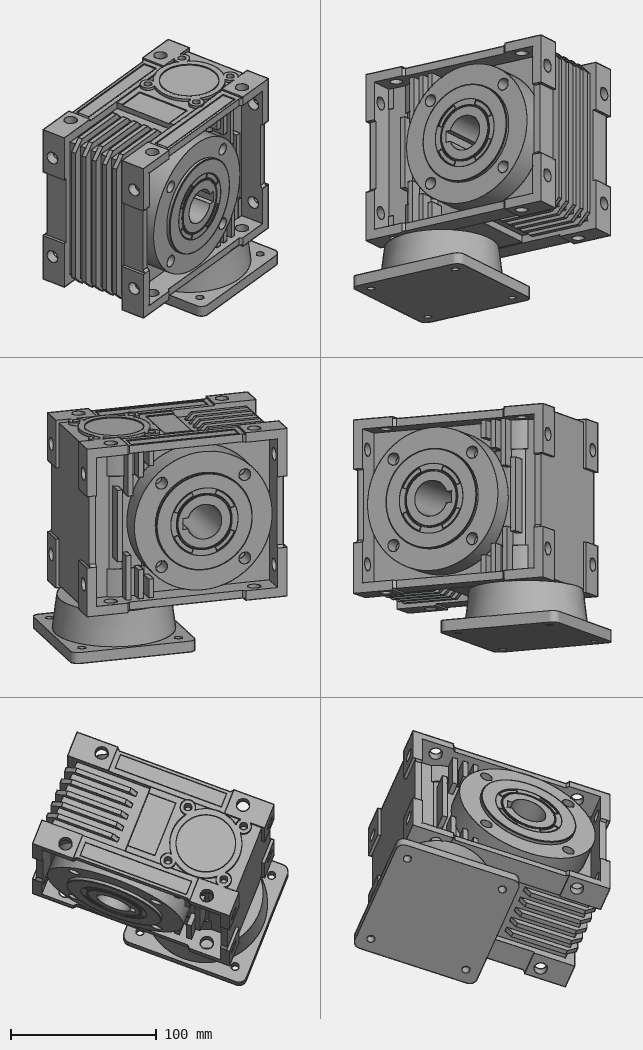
import cadquery as cq
import math


CENTRE_DISTANCE = 50.0
HALF_WIDTH = 42.7
CORE_HALF_WIDTH = 24.6
FRONT_Y, BACK_Y = -61.0, 84.0
BOTTOM_Z, TOP_Z = -61.0, 60.0
WALL = 6.9
RAIL_RECESS_X = 1.9
RAMP_LENGTH = 1.9
UPPER_RAMP_LENGTH = 0.6
RAIL_RECESS_Y = 2.2
RAIL_RECESS_Z = 1.2
PAD_EDGE_Z = 25.7
PAD_EDGE_Y = (-31.0, 54.3)
BACK_STEP = 2.2
COVER_LAND_STEP = 2.0

INNER_FRONT_Y = FRONT_Y + WALL
INNER_BACK_Y = BACK_Y - WALL
INNER_BOTTOM_Z = BOTTOM_Z + WALL
INNER_TOP_Z = TOP_Z - WALL

FOOT_HOLE_DIAMETER = 9.0
FOOT_HOLE_X = 34.8
FOOT_HOLE_Z = 40.0
FOOT_HOLE_Y = (-39.8, 64.1)

RAIL_PANEL_X = (28.5, 38.7)
RAIL_PANEL_Y = (-27.5, 50.5)
NAMEPLATE_HALF_WIDTH = 20.1
NAMEPLATE_LENGTH = 20.3
PANEL_DEPTH = 0.8

FIN_COUNT = 5
FIN_PITCH = 8.7
FIN_THICKNESS = 3.3
FIN_START_Y = -7.5
FIN_LEAD_IN = 4.7
FIN_SETBACK = 1.1
FIN_FRONT_Y = FRONT_Y + FIN_SETBACK
FIN_CHAMFER = 7.8

COVER_RADIUS = 24.8
COVER_DISH_RADIUS = 20.5
LUG_COUNT = 4
LUG_CIRCLE_RADIUS = 28.7
LUG_RADIUS = 5.3
LUG_HOLE_DIAMETER = 5.3
LUG_HOLE_DEPTH = 9.4
LUG_START_ANGLE = 46.3

ADAPTER_TOP_RADIUS = 39.3
ADAPTER_BASE_RADIUS = 42.5
FLANGE_BOTTOM_Z = -93.5
FLANGE_THICKNESS = 8.0
FLANGE_WIDTH = 89.9
FLANGE_CORNER_RADIUS = 5.5
FLANGE_HOLE_SPACING = 69.9
FLANGE_HOLE_DIAMETER = 5.5

DISC_RADIUS = 49.9
DISC_FACE_X = 43.4
SPIGOT_RADIUS = 34.8
SPIGOT_FACE_X = 46.0
SPIGOT_CHAMFER = 0.5
DISC_HOLE_OFFSET = 30.1
DISC_HOLE_DIAMETER = 8.5
DISC_HOLE_DEPTH = 12.5
SEAL_RADIUS = 24.3
SEAL_RECESS = 0.2
SEAL_GROOVE_RADII = (19.2, 20.1)
SEAL_GROOVE_DEPTH = 0.8
SEAL_POCKET_COUNT = 4
SEAL_POCKET_RADII = (20.6, 23.7)
SEAL_POCKET_SPAN = 45.0
SEAL_POCKET_DEPTH = 0.6
BORE_RADIUS = 12.5
KEYWAY_WIDTH = 8.0
KEYWAY_TIP_Y = 15.6

WORM_BARREL_RADIUS = 27.3
WORM_END_RADIUS = 28.1
WORM_BARREL_Z = (-34.2, 32.9)
RIB_FACE_X = 36.2
RIB_THICKNESS = 3.6
LONG_RIB_Y = 57.9
UPPER_RIBS = ((50.4, 20.7), (42.7, 33.5), (35.3, 41.2))
LOWER_RIBS = ((51.6, -22.2), (42.7, -33.2), (35.3, -40.7))
CORNER_BLOCK_WIDTH = 3.7
CORNER_BLOCK_HEIGHT = 14.7
CORNER_BLOCK_STANDOUT = 0.3


def box(x_range, y_range, z_range):
    """Axis-aligned box between the given limits."""
    (x0, x1), (y0, y1), (z0, z1) = x_range, y_range, z_range
    return cq.Workplane("XY").box(x1 - x0, y1 - y0, z1 - z0, centered=False).translate((x0, y0, z0))


def both_sides(shape):
    """The shape together with its mirror image across the YZ plane."""
    return shape.union(shape.mirror("YZ"))


def x_cylinder(radius, x_start, x_end, y=0, z=0):
    return cq.Workplane("YZ", origin=(x_start, y, z)).circle(radius).extrude(x_end - x_start)


def y_cylinder(radius, y_start, y_end, x, z):
    return cq.Workplane("XZ", origin=(x, y_start, z)).circle(radius).extrude(y_start - y_end)


def z_cylinder(radius, z_start, z_end, x=0, y=CENTRE_DISTANCE):
    return cq.Workplane("XY", origin=(x, y, z_start)).circle(radius).extrude(z_end - z_start)


def make_core():
    """Central body, stepped up over the worm at the top and bottom."""
    width = (-CORE_HALF_WIDTH, CORE_HALF_WIDTH)
    body = box(width, (INNER_FRONT_Y, BACK_Y - BACK_STEP), (INNER_BOTTOM_Z, INNER_TOP_Z))
    worm_land = box(
        width,
        (0, BACK_Y - BACK_STEP),
        (BOTTOM_Z + COVER_LAND_STEP, TOP_Z - COVER_LAND_STEP),
    )
    nameplate = box(
        (-NAMEPLATE_HALF_WIDTH, NAMEPLATE_HALF_WIDTH),
        (0, NAMEPLATE_LENGTH),
        (TOP_Z - COVER_LAND_STEP - PANEL_DEPTH, TOP_Z),
    )
    return body.union(worm_land).cut(nameplate)


def make_frame():
    """Left side frame: four corner pads joined by recessed rails."""
    width = (-HALF_WIDTH, -CORE_HALF_WIDTH)
    pad_z = (-PAD_EDGE_Z, PAD_EDGE_Z)
    frame = box(width, (FRONT_Y, BACK_Y), (BOTTOM_Z, TOP_Z))
    frame = frame.cut(box(width, (INNER_FRONT_Y, INNER_BACK_Y), (INNER_BOTTOM_Z, INNER_TOP_Z)))

    for y_range in ((FRONT_Y, FRONT_Y + RAIL_RECESS_Y), (BACK_Y - RAIL_RECESS_Y, BACK_Y)):
        frame = frame.cut(box(width, y_range, pad_z))
    for z_range in ((BOTTOM_Z, BOTTOM_Z + RAIL_RECESS_Z), (TOP_Z - RAIL_RECESS_Z, TOP_Z)):
        frame = frame.cut(box(width, PAD_EDGE_Y, z_range))

    upright_profile = side_recess_profile(pad_z, UPPER_RAMP_LENGTH)
    upright_recess = cq.Workplane("XZ", origin=(0, FRONT_Y, 0)).polyline(upright_profile).close()
    frame = frame.cut(upright_recess.extrude(FRONT_Y - BACK_Y))
    level_profile = side_recess_profile(PAD_EDGE_Y, RAMP_LENGTH)
    level_recess = cq.Workplane("XY", origin=(0, 0, BOTTOM_Z)).polyline(level_profile).close()
    frame = frame.cut(level_recess.extrude(TOP_Z - BOTTOM_Z))

    panel_x = (-RAIL_PANEL_X[1], -RAIL_PANEL_X[0])
    panel_z = TOP_Z - RAIL_RECESS_Z - PANEL_DEPTH
    return frame.cut(box(panel_x, RAIL_PANEL_Y, (panel_z, TOP_Z)))


def side_recess_profile(edges, end_ramp_length):
    """Trapezoid cut into the left face between two pad edges."""
    floor_x = -HALF_WIDTH + RAIL_RECESS_X
    return [
        (-HALF_WIDTH, edges[0]),
        (floor_x, edges[0] + RAMP_LENGTH),
        (floor_x, edges[1] - end_ramp_length),
        (-HALF_WIDTH, edges[1]),
    ]


def make_foot_holes():
    """Holes through the frame walls at the left-hand corner pads."""
    radius = FOOT_HOLE_DIAMETER / 2
    holes = cq.Workplane("XY")
    for y_start in (FRONT_Y, INNER_BACK_Y):
        for z in (-FOOT_HOLE_Z, FOOT_HOLE_Z):
            holes = holes.add(y_cylinder(radius, y_start, y_start + WALL, -FOOT_HOLE_X, z))
    for z_start in (BOTTOM_Z, INNER_TOP_Z):
        for y in FOOT_HOLE_Y:
            holes = holes.add(z_cylinder(radius, z_start, z_start + WALL, -FOOT_HOLE_X, y))
    return holes.combine()


def make_fins():
    """Cooling fins wrapped around the front of the core."""
    top = TOP_Z - COVER_LAND_STEP
    bottom = BOTTOM_Z + COVER_LAND_STEP
    outline = [
        (FIN_START_Y, INNER_TOP_Z),
        (FIN_START_Y - FIN_LEAD_IN, top),
        (FIN_FRONT_Y + FIN_CHAMFER, top),
        (FIN_FRONT_Y, top - FIN_CHAMFER),
        (FIN_FRONT_Y, bottom + FIN_CHAMFER),
        (FIN_FRONT_Y + FIN_CHAMFER, bottom),
        (FIN_START_Y - FIN_LEAD_IN, bottom),
        (FIN_START_Y, INNER_BOTTOM_Z),
    ]
    fin = cq.Workplane("YZ").polyline(outline).close().extrude(FIN_THICKNESS / 2, both=True)
    first_x = -FIN_PITCH * (FIN_COUNT - 1) / 2
    fins = fin.translate((first_x, 0, 0))
    for i in range(1, FIN_COUNT):
        fins = fins.union(fin.translate((first_x + i * FIN_PITCH, 0, 0)))
    return fins


def lug_centres():
    centres = []
    for i in range(LUG_COUNT):
        angle = math.radians(LUG_START_ANGLE + i * 360 / LUG_COUNT)
        x = LUG_CIRCLE_RADIUS * math.cos(angle)
        y = CENTRE_DISTANCE + LUG_CIRCLE_RADIUS * math.sin(angle)
        centres.append((x, y))
    return centres


def make_cover(z_start, z_end):
    """Round bearing cover with four screw lugs."""
    cover = z_cylinder(COVER_RADIUS, z_start, z_end)
    for x, y in lug_centres():
        cover = cover.union(z_cylinder(LUG_RADIUS, z_start, z_end, x, y))
    return cover


def make_adapter():
    """Conical motor adapter with its square flange."""
    flange_top = FLANGE_BOTTOM_Z + FLANGE_THICKNESS
    axis = (0, CENTRE_DISTANCE)
    cone = (
        cq.Workplane("XY", origin=(*axis, flange_top))
        .circle(ADAPTER_BASE_RADIUS)
        .workplane(offset=BOTTOM_Z - flange_top)
        .circle(ADAPTER_TOP_RADIUS)
        .loft(ruled=True)
    )
    flange = (
        cq.Workplane("XY", origin=(*axis, FLANGE_BOTTOM_Z))
        .rect(FLANGE_WIDTH, FLANGE_WIDTH)
        .extrude(FLANGE_THICKNESS)
        .edges("|Z")
        .fillet(FLANGE_CORNER_RADIUS)
        .faces(">Z")
        .workplane(origin=(*axis, 0))
        .rect(FLANGE_HOLE_SPACING, FLANGE_HOLE_SPACING, forConstruction=True)
        .vertices()
        .hole(FLANGE_HOLE_DIAMETER)
    )
    return cone.union(flange)


def make_output_flange():
    """Left output flange with its spigot, bolt holes and shaft seal."""
    spigot = x_cylinder(SPIGOT_RADIUS, -SPIGOT_FACE_X, -CORE_HALF_WIDTH)
    spigot = spigot.faces("<X").edges().chamfer(SPIGOT_CHAMFER)
    flange = x_cylinder(DISC_RADIUS, -DISC_FACE_X, -CORE_HALF_WIDTH).union(spigot)

    for y in (-DISC_HOLE_OFFSET, DISC_HOLE_OFFSET):
        for z in (-DISC_HOLE_OFFSET, DISC_HOLE_OFFSET):
            hole_end = -DISC_FACE_X + DISC_HOLE_DEPTH
            flange = flange.cut(x_cylinder(DISC_HOLE_DIAMETER / 2, -DISC_FACE_X, hole_end, y, z))

    seal_x = -SPIGOT_FACE_X + SEAL_RECESS
    flange = flange.cut(ring(SEAL_GROOVE_RADII[0], SEAL_RADIUS, -SPIGOT_FACE_X, seal_x))
    flange = flange.cut(ring(*SEAL_GROOVE_RADII, seal_x, seal_x + SEAL_GROOVE_DEPTH))
    pocket = seal_pocket(seal_x)
    for i in range(SEAL_POCKET_COUNT):
        angle = (i + 0.5) * 360 / SEAL_POCKET_COUNT
        flange = flange.cut(pocket.rotate((0, 0, 0), (1, 0, 0), angle))
    return flange


def ring(inner, outer, x_start, x_end):
    return cq.Workplane("YZ", origin=(x_start, 0, 0)).circle(outer).circle(inner).extrude(x_end - x_start)


def seal_pocket(face_x):
    """Ring sector centred on the +Y direction, sunk into the seal face."""
    inner, outer = SEAL_POCKET_RADII
    half_angle = math.radians(SEAL_POCKET_SPAN / 2)
    cos_a, sin_a = math.cos(half_angle), math.sin(half_angle)
    return (
        cq.Workplane("YZ", origin=(face_x, 0, 0))
        .moveTo(inner * cos_a, -inner * sin_a)
        .lineTo(outer * cos_a, -outer * sin_a)
        .threePointArc((outer, 0), (outer * cos_a, outer * sin_a))
        .lineTo(inner * cos_a, inner * sin_a)
        .threePointArc((inner, 0), (inner * cos_a, -inner * sin_a))
        .close()
        .extrude(SEAL_POCKET_DEPTH)
    )


def make_worm_housing():
    """Worm barrel with thicker ends, bulging out of both sides of the core."""
    barrel = z_cylinder(WORM_BARREL_RADIUS, *WORM_BARREL_Z)
    lower_end = z_cylinder(WORM_END_RADIUS, INNER_BOTTOM_Z, WORM_BARREL_Z[0])
    upper_end = z_cylinder(WORM_END_RADIUS, WORM_BARREL_Z[1], INNER_TOP_Z)
    return barrel.union(lower_end).union(upper_end)


def make_side_ribs():
    """Ribs and corner blocks inside the left frame."""
    spans = [(LONG_RIB_Y, -PAD_EDGE_Z, PAD_EDGE_Z)]
    spans += [(y, end_z, INNER_TOP_Z) for y, end_z in UPPER_RIBS]
    spans += [(y, INNER_BOTTOM_Z, end_z) for y, end_z in LOWER_RIBS]
    half = RIB_THICKNESS / 2
    ribs = cq.Workplane("XY")
    for y, z_start, z_end in spans:
        ribs = ribs.add(box((-RIB_FACE_X, -CORE_HALF_WIDTH), (y - half, y + half), (z_start, z_end)))

    block_x = (-CORE_HALF_WIDTH - CORNER_BLOCK_STANDOUT, -CORE_HALF_WIDTH)
    block_y = (INNER_BACK_Y - CORNER_BLOCK_WIDTH, INNER_BACK_Y)
    for z_start in (INNER_BOTTOM_Z, INNER_TOP_Z - CORNER_BLOCK_HEIGHT):
        ribs = ribs.add(box(block_x, block_y, (z_start, z_start + CORNER_BLOCK_HEIGHT)))
    return ribs.combine()


def make_bore():
    """Keyed through bore of the hollow output shaft."""
    bore = x_cylinder(BORE_RADIUS, -SPIGOT_FACE_X, SPIGOT_FACE_X)
    keyway = box(
        (-SPIGOT_FACE_X, SPIGOT_FACE_X),
        (0, KEYWAY_TIP_Y),
        (-KEYWAY_WIDTH / 2, KEYWAY_WIDTH / 2),
    )
    return bore.union(keyway)


result = make_core().union(make_worm_housing()).union(make_fins())
result = result.union(both_sides(make_frame().cut(make_foot_holes())))
result = result.union(both_sides(make_side_ribs()))

result = result.union(make_cover(INNER_TOP_Z, TOP_Z))
result = result.union(make_cover(BOTTOM_Z, INNER_BOTTOM_Z))
result = result.union(make_adapter())
result = result.union(both_sides(make_output_flange()))

result = result.cut(z_cylinder(COVER_DISH_RADIUS, TOP_Z - PANEL_DEPTH, TOP_Z))
for lug_x, lug_y in lug_centres():
    result = result.cut(z_cylinder(LUG_HOLE_DIAMETER / 2, TOP_Z - LUG_HOLE_DEPTH, TOP_Z, lug_x, lug_y))
result = result.cut(make_bore())